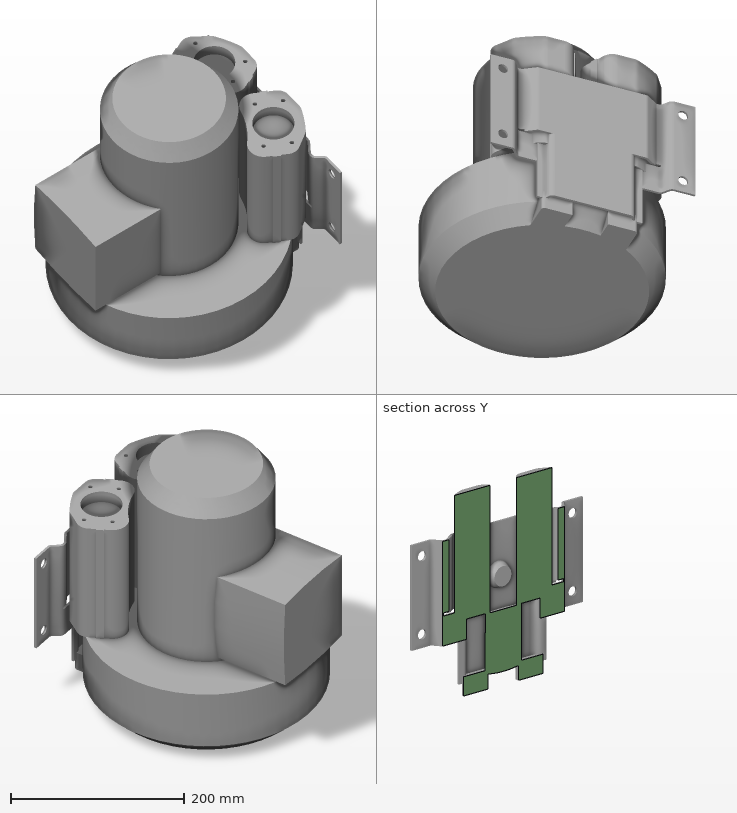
import cadquery as cq
import math


drum_diameter = 286.0
drum_radius = drum_diameter / 2
drum_top = 93.8
drum_chamfer = 19.2

motor_radius = 80.0
motor_top = 320.0
motor_chamfer_height = 20.2
motor_chamfer_inset = 14.5

box_half = 58.0
box_mid_z = 157.5
box_front_y = -149.8
box_crown = 3.5
box_side_bulge = 2.5

port_distance = 122.0
port_angle = 117.8
port_height = 157.2
port_half_width = 48.0
port_inner_radius = 90.5
port_outer_radius = 158.0
port_outer_half_width = 18.5
port_shoulder = 141.5
port_inner_corner = 19.2
port_shoulder_radius = 15.5
port_outer_corner_radius = 12.8
port_bore_radius = 24.3
port_bore_depth = 15.0
port_bolt_circle = 36.0
port_bolt_angles = (62.5, 117.5, -62.5, -117.5)
port_bolt_radius = 2.5
rib_start = 113.3
rib_width = 9.5
rib_height = 1.3

sheet = 3.0
bend_radius = 4.0
wing_end = 128.0
wing_bend = 98.0
wing_back_y = 153.3
valley_outer = 89.3
valley_inner = 84.2
valley_front_y = 138.5
bridge_half = 68.5
bridge_back_y = 152.0
bracket_top = 198.5
bracket_bottom = 68.8
tab_end = 54.5
slit_bottom = 106.3
slit_height = 3.2
slit_back_y = 143.0
wing_hole_x = 112.7
wing_hole_radius = 6.0
wing_hole_inset = 16.5

saddle_bottom = 15.5
saddle_flange_end = 65.5
saddle_flange_bend = 56.3
saddle_bridge_half = 51.5
saddle_front_y = 140.5

boss_z = (bracket_bottom + bracket_top) / 2
boss_tip_y = 140.2
boss_small_radius = 12.5
boss_large_radius = 16.5

foot_outer_x = 60.0
foot_inner_x = 22.5
foot_back_y = 144.5
foot_front_y = 96.0
foot_height = 24.3
foot_corner = 4.0


def mirrored(body):
    """Join a body with its mirror image across X = 0."""
    return body.union(body.mirror("YZ"))


def round_upright_edge(body, x, y, z, radius):
    """Fillet the upright edge that passes through a point."""
    edge = cq.selectors.NearestToPointSelector((x, y, z))
    return body.edges(edge).fillet(radius)


def make_drum():
    drum = cq.Workplane("XY").circle(drum_radius).extrude(drum_top)
    return drum.faces("<Z").chamfer(drum_chamfer)


def make_motor():
    crown_z = motor_top - motor_chamfer_height
    profile = [
        (0, 0),
        (motor_radius, 0),
        (motor_radius, crown_z),
        (motor_radius - motor_chamfer_inset, motor_top),
        (0, motor_top),
    ]
    return cq.Workplane("XZ").polyline(profile).close().revolve(360, (0, 0), (0, 1))


def make_terminal_box():
    bottom = box_mid_z - box_half
    top = box_mid_z + box_half
    return (
        cq.Workplane("XZ")
        .moveTo(box_half, bottom)
        .lineTo(box_half, top)
        .threePointArc((0, top + box_crown), (-box_half, top))
        .threePointArc((-box_half - box_side_bulge, box_mid_z), (-box_half, bottom))
        .threePointArc((0, bottom - box_crown), (box_half, bottom))
        .close()
        .extrude(-box_front_y)
    )


def make_port():
    """Left port, drawn with its radial line along X and then turned into place."""
    corner_y = port_half_width - port_inner_corner
    touch_distance = port_inner_radius + port_inner_corner
    corner_x = math.sqrt(touch_distance**2 - corner_y**2)
    touch_x = corner_x * port_inner_radius / touch_distance
    touch_y = corner_y * port_inner_radius / touch_distance
    touch_angle = math.atan2(-corner_y, -corner_x) + 2 * math.pi
    mid_angle = (touch_angle + math.pi / 2) / 2
    bulge_x = corner_x + port_inner_corner * math.cos(mid_angle)
    bulge_y = corner_y + port_inner_corner * math.sin(mid_angle)
    outer_x = math.sqrt(port_outer_radius**2 - port_outer_half_width**2)

    body = (
        cq.Workplane("XY")
        .moveTo(touch_x, -touch_y)
        .threePointArc((port_inner_radius, 0), (touch_x, touch_y))
        .threePointArc((bulge_x, bulge_y), (corner_x, port_half_width))
        .lineTo(port_shoulder, port_half_width)
        .lineTo(outer_x, port_outer_half_width)
        .threePointArc((port_outer_radius, 0), (outer_x, -port_outer_half_width))
        .lineTo(port_shoulder, -port_half_width)
        .lineTo(corner_x, -port_half_width)
        .threePointArc((bulge_x, -bulge_y), (touch_x, -touch_y))
        .close()
        .extrude(port_height)
    )
    rounded_corners = [
        (port_shoulder, port_half_width, port_shoulder_radius),
        (outer_x, port_outer_half_width, port_outer_corner_radius),
    ]
    for x, half_width, radius in rounded_corners:
        for y in (-half_width, half_width):
            body = round_upright_edge(body, x, y, port_height / 2, radius)

    ribs = cq.Workplane("XY").rect(rib_width, 2 * (port_half_width + rib_height))
    ribs = ribs.extrude(port_height).translate((rib_start + rib_width / 2, 0, 0))
    body = body.union(ribs)

    bolts = [
        (
            port_distance + port_bolt_circle * math.cos(math.radians(angle)),
            port_bolt_circle * math.sin(math.radians(angle)),
        )
        for angle in port_bolt_angles
    ]
    top = cq.Workplane("XY", origin=(0, 0, port_height))
    bore = top.center(port_distance, 0).circle(port_bore_radius).extrude(-port_bore_depth)
    bolt_holes = top.pushPoints(bolts).circle(port_bolt_radius).extrude(-port_bore_depth)
    body = body.cut(bore).cut(bolt_holes)
    return body.rotate((0, 0, 0), (0, 0, 1), port_angle).translate((0, 0, drum_top))


def bent_sheet(back_line, bottom, top):
    """Sheet of constant thickness in front of a back line that runs in the +X direction."""
    headings = [
        math.atan2(end[1] - start[1], end[0] - start[0])
        for start, end in zip(back_line, back_line[1:])
    ]
    before = headings[:1] + headings
    after = headings + headings[-1:]
    front_line = []
    for (x, y), first, second in zip(back_line, before, after):
        heading = (first + second) / 2
        miter = sheet / math.cos((second - first) / 2)
        front_line.append((x + miter * math.sin(heading), y - miter * math.cos(heading)))

    outline = back_line + front_line[::-1]
    body = cq.Workplane("XY").polyline(outline).close().extrude(top - bottom)
    middle = (top - bottom) / 2
    for index in range(1, len(back_line) - 1):
        inside, outside = back_line[index], front_line[index]
        if after[index] < before[index]:
            inside, outside = outside, inside
        body = round_upright_edge(body, *inside, middle, bend_radius)
        body = round_upright_edge(body, *outside, middle, bend_radius + sheet)
    return body.translate((0, 0, bottom))


def make_bracket():
    valley_back_y = valley_front_y + sheet
    wing = [(-wing_end, wing_back_y), (-wing_bend, wing_back_y), (-valley_outer, valley_back_y)]
    rise = [(-valley_inner, valley_back_y), (-bridge_half, bridge_back_y), (0, bridge_back_y)]
    saddle_back_y = saddle_front_y + sheet
    saddle_line = [
        (-saddle_flange_end, saddle_back_y),
        (-saddle_flange_bend, saddle_back_y),
        (-saddle_bridge_half, bridge_back_y),
        (0, bridge_back_y),
    ]

    upper = bent_sheet(wing + rise, slit_bottom, bracket_top)
    slit = cq.Workplane("XY").box(
        valley_outer, slit_back_y, slit_height, centered=False
    ).translate((-valley_outer, 0, slit_bottom))
    lower = bent_sheet(wing + [(-tab_end, valley_back_y)], bracket_bottom, slit_bottom)
    saddle = bent_sheet(saddle_line, saddle_bottom, slit_bottom)
    half = upper.cut(slit).union(lower).union(saddle)

    hole_heights = (bracket_bottom + wing_hole_inset, bracket_top - wing_hole_inset)
    holes = (
        cq.Workplane("XZ", origin=(0, wing_back_y, 0))
        .pushPoints([(-wing_hole_x, z) for z in hole_heights])
        .circle(wing_hole_radius)
        .extrude(sheet)
    )
    return mirrored(half.cut(holes))


def make_boss():
    base_y = bridge_back_y - sheet
    profile = [
        (0, base_y),
        (boss_large_radius, base_y),
        (boss_small_radius, boss_tip_y),
        (0, boss_tip_y),
    ]
    cone = cq.Workplane("XY").polyline(profile).close().revolve(360, (0, 0), (0, 1))
    return cone.translate((0, 0, boss_z))


def make_feet():
    width = foot_outer_x - foot_inner_x
    depth = foot_back_y - foot_front_y
    foot = cq.Workplane("XY").box(width, depth, foot_height, centered=False)
    foot = foot.edges("|Z and >Y and <X").fillet(foot_corner)
    return mirrored(foot.translate((-foot_outer_x, foot_front_y, 0)))


result = (
    make_drum()
    .union(make_motor())
    .union(make_terminal_box())
    .union(mirrored(make_port()))
    .union(make_feet())
    .union(make_boss())
    .union(make_bracket())
)